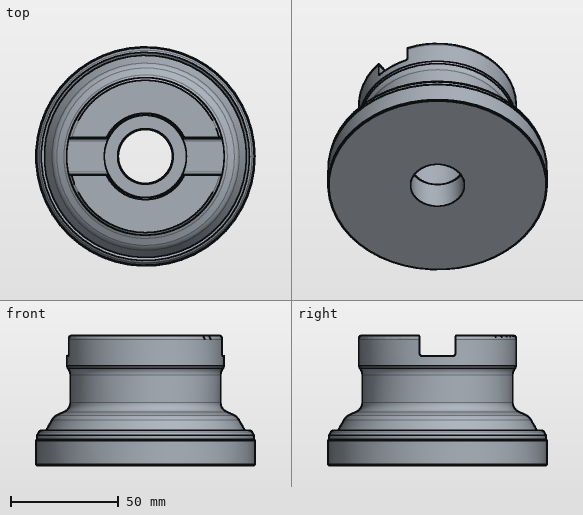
import cadquery as cq
import math

height = 60.3
base_chamfer = 0.5
flange_wall_top = 11.5
relief_bottom = 12.2
relief_top = 13.9
flange_top = 16.4
valley_height = 15.1
cone_top = 21.1
neck_bottom = 29.4
neck_top = 42.1
collar_bottom = 46.2

flange_radius = 50.8
relief_radius = 50.4
flange_crest_radius = 48.3
flange_crest_round = 1.2
valley_radius = 46.8
cone_top_radius = 43.4
neck_radius = 70.0 / 2
collar_radius = 73.0 / 2

foot_crest_radius = 41.1
foot_crest_height = 23.4
foot_fillet_radius = 37.9
foot_fillet_height = 24.9
foot_fillet_mid_radius = 35.8
foot_fillet_mid_height = 26.5
collar_underside_radius = 36.1
collar_underside_height = 45.0
undercut_mid_radius = 35.2
undercut_mid_height = 43.7
collar_top_blend = 1.8
collar_top_inset = 1.2

bore_diameter = 38.1
bore_mouth_diameter = 38.5
bore_mouth_depth = 4.1
bore_mouth_chamfer = 0.8
bore_floor = flange_top
through_diameter = 25.0
through_chamfer = 0.4

slot_width = 16.5
slot_depth = 9.5
slot_floor_fillet = 1.0
slot_edge_chamfer = 0.6


def make_body():
    """Revolve the outer profile into a solid of revolution."""
    crest_angle = math.radians(60)
    crest_end = (
        flange_crest_radius + flange_crest_round * math.sin(crest_angle),
        flange_top - flange_crest_round * (1 - math.cos(crest_angle)),
    )
    crest_mid = (
        flange_crest_radius + flange_crest_round * math.sin(crest_angle / 2),
        flange_top - flange_crest_round * (1 - math.cos(crest_angle / 2)),
    )
    arc_part = math.sin(math.radians(45))
    collar_round_mid = (
        collar_radius - collar_top_inset * (1 - arc_part),
        height - collar_top_blend * (1 - arc_part),
    )
    profile = (
        cq.Workplane("XZ")
        .lineTo(flange_radius - base_chamfer, 0)
        .lineTo(flange_radius, base_chamfer)
        .lineTo(flange_radius, flange_wall_top)
        .lineTo(relief_radius, relief_bottom)
        .lineTo(relief_radius, relief_top)
        .lineTo(*crest_end)
        .threePointArc(crest_mid, (flange_crest_radius, flange_top))
        .lineTo(valley_radius, valley_height)
        .lineTo(cone_top_radius, cone_top)
        .tangentArcPoint((foot_crest_radius, foot_crest_height), relative=False)
        .lineTo(foot_fillet_radius, foot_fillet_height)
        .threePointArc((foot_fillet_mid_radius, foot_fillet_mid_height), (neck_radius, neck_bottom))
        .lineTo(neck_radius, neck_top)
        .threePointArc(
            (undercut_mid_radius, undercut_mid_height),
            (collar_underside_radius, collar_underside_height),
        )
        .lineTo(collar_radius, collar_bottom)
        .lineTo(collar_radius, height - collar_top_blend)
        .threePointArc(collar_round_mid, (collar_radius - collar_top_inset, height))
        .lineTo(0, height)
        .close()
    )
    return profile.revolve(360, (0, 0, 0), (0, 1, 0))


def make_bore():
    """Revolve the stepped bore with its tapered mouth and through hole."""
    bore_radius = bore_diameter / 2
    mouth_radius = bore_mouth_diameter / 2
    through_radius = through_diameter / 2
    profile = (
        cq.Workplane("XZ")
        .lineTo(through_radius, 0)
        .lineTo(through_radius, bore_floor - through_chamfer)
        .lineTo(through_radius + through_chamfer, bore_floor)
        .lineTo(bore_radius, bore_floor)
        .lineTo(bore_radius, height - bore_mouth_depth)
        .lineTo(mouth_radius, height - bore_mouth_chamfer)
        .lineTo(mouth_radius + bore_mouth_chamfer, height)
        .lineTo(0, height)
        .close()
    )
    return profile.revolve(360, (0, 0, 0), (0, 1, 0))


def make_slot():
    """Slot cutter with rounded floor corners and flared top edges."""
    slot_length = 2 * flange_radius
    half_width = slot_width / 2
    slot = (
        cq.Workplane("XY")
        .workplane(offset=height - slot_depth)
        .rect(slot_length, slot_width)
        .extrude(slot_depth)
        .edges("|X and <Z")
        .fillet(slot_floor_fillet)
    )
    flare = (
        cq.Workplane("YZ")
        .moveTo(-half_width, height - slot_edge_chamfer)
        .lineTo(half_width, height - slot_edge_chamfer)
        .lineTo(half_width + slot_edge_chamfer, height)
        .lineTo(-half_width - slot_edge_chamfer, height)
        .close()
        .extrude(flange_radius, both=True)
    )
    return slot.union(flare)


result = make_body().cut(make_bore()).cut(make_slot())